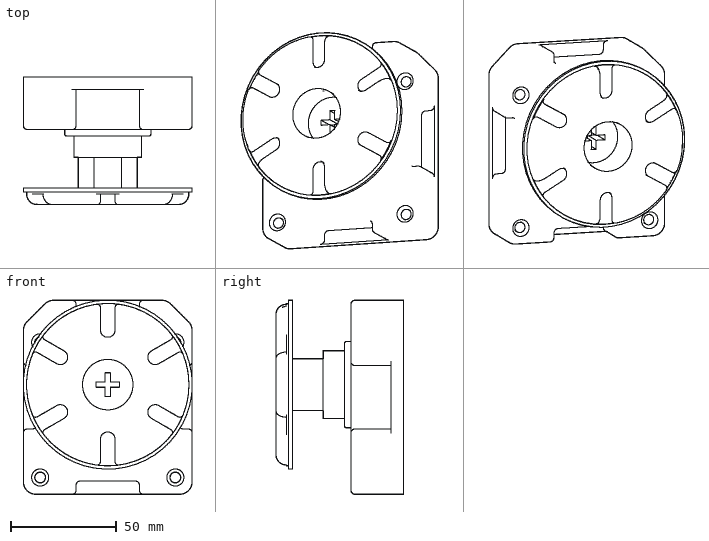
import cadquery as cq
import math


width = 80.0
height = 92.0
housing_depth = 25.0
corner_chamfer = 12.0
corner_radius = 6.0
edge_radius = 2.0
back_wall = 6.0
recess_width = 30.0
recess_depth = 6.35
screw_inset = 8.0
upper_screw_drop = 20.0
screw_radius = 2.5
countersink_depth = 1.6

flange_radius = 20.5
flange_thickness = 3.0
flange_edge_radius = 1.0
bush_radius = 16.1
bush_length = 10.0

knob_radius = width / 2
rim_thickness = 2.0
hub_radius = 38.5
hub_thickness = 6.0
hub_edge_radius = 5.0
shaft_radius = 14.0
shaft_length = 14.4
shaft_flats = 24.7
bore_radius = 12.0
slot_count = 6
slot_width = 7.0
slot_center = 25.9
slot_depth = hub_edge_radius
slot_edge_radius = 1.6

key_length = 11.0
key_width = 2.4

housing_top = knob_radius
housing_bottom = housing_top - height
housing_middle = (housing_top + housing_bottom) / 2
housing_front = -housing_depth
flange_front = housing_front - flange_thickness
collar_front = flange_front - bush_length
rim_back = collar_front - shaft_length
rim_front = rim_back - rim_thickness
knob_front = rim_front - hub_thickness


def plane_at(y):
    """XZ plane at depth y; its normal points to -Y, the front."""
    return cq.Workplane("XZ", origin=(0, y, 0))


def key_cross(start_y, end_y):
    """Cross-shaped prism running from start_y forward to end_y."""
    length = start_y - end_y
    upright = plane_at(start_y).rect(key_width, key_length).extrude(length)
    bar = plane_at(start_y).rect(key_length, key_width).extrude(length)
    return upright.union(bar)


def housing_block():
    """Full-depth block with chamfered top corners and rounded vertical edges."""
    block = (
        plane_at(0).center(0, housing_middle).rect(width, height).extrude(housing_depth)
        .edges("|Y and >Z").chamfer(corner_chamfer)
    )
    return block.edges("|Y").fillet(corner_radius)


def side_recess(x, z, turn):
    """Recess cutter centred on an outer side: turn is the angle of that side's outward normal.

    Its mouth flares with convex rounds and its floor corners are concave rounds.
    """
    half = recess_width / 2
    r = edge_radius
    bend = r * math.sqrt(0.5)
    outline = (
        cq.Workplane("XZ")
        .moveTo(r, -half - r)
        .lineTo(0, -half - r)
        .threePointArc((bend - r, -half - r + bend), (-r, -half))
        .lineTo(r - recess_depth, -half)
        .threePointArc((r - recess_depth - bend, r - half - bend), (-recess_depth, r - half))
        .lineTo(-recess_depth, half - r)
        .threePointArc((r - recess_depth - bend, half - r + bend), (r - recess_depth, half))
        .lineTo(-r, half)
        .threePointArc((bend - r, half + r - bend), (0, half + r))
        .lineTo(r, half + r)
        .close()
    )
    cutter = outline.extrude(housing_depth - back_wall)
    return cutter.rotate((0, 0, 0), (0, -1, 0), turn).translate((x, -back_wall, z))


def screw_hole():
    """Cutter for a countersunk through hole on the Y axis."""
    hole = plane_at(0).circle(screw_radius).extrude(housing_depth)
    cone = cq.Solid.makeCone(
        screw_radius,
        screw_radius + countersink_depth,
        countersink_depth,
        cq.Vector(0, housing_front + countersink_depth, 0),
        cq.Vector(0, -1, 0),
    )
    return hole.union(cq.Workplane(cone))


def make_housing():
    body = housing_block()
    sides = [
        (width / 2, housing_middle, 0),
        (0, housing_top, 90),
        (-width / 2, housing_middle, 180),
        (0, housing_bottom, 270),
    ]
    for x, z, turn in sides:
        body = body.cut(side_recess(x, z, turn))
    body = body.faces("<Y").edges().fillet(edge_radius)

    screw_x = width / 2 - screw_inset
    screw_places = [
        (x, z)
        for x in (-screw_x, screw_x)
        for z in (housing_bottom + screw_inset, housing_top - upper_screw_drop)
    ]
    for x, z in screw_places:
        body = body.cut(screw_hole().translate((x, 0, z)))
    return body.cut(key_cross(0, housing_front))


def make_collar():
    flange = plane_at(housing_front).circle(flange_radius).extrude(flange_thickness)
    flange = flange.faces("<Y").edges().fillet(flange_edge_radius)
    bush = plane_at(flange_front).circle(bush_radius).extrude(bush_length)
    return flange.union(bush).cut(key_cross(housing_front, collar_front))


def grip_slot(start, depth):
    """Cutter for the grip slot at the top of the knob: round inner end, open at the rim."""
    reach = knob_radius - slot_center
    straight = (
        plane_at(start).center(0, slot_center + reach / 2).rect(slot_width, reach).extrude(depth)
    )
    end = plane_at(start).center(0, slot_center).circle(slot_width / 2).extrude(depth)
    return straight.union(end)


def grip_pad():
    """Raised, rounded part of the hub between the slot floor and the knob front.

    It is modelled the full hub thickness deep so that the slot edge rounds run straight
    past the slot floor, and is then trimmed off at that floor.
    """
    pad = plane_at(rim_front).circle(hub_radius).extrude(hub_thickness)
    pad = pad.faces("<Y").edges().fillet(hub_edge_radius)
    for i in range(slot_count):
        slot = grip_slot(rim_front, hub_thickness)
        pad = pad.cut(slot.rotate((0, 0, 0), (0, 1, 0), i * 360 / slot_count))
    pad = pad.faces("<Y").edges("%LINE").fillet(slot_edge_radius)
    return pad.cut(plane_at(rim_front).circle(knob_radius).extrude(hub_thickness - slot_depth))


def make_knob():
    hub_base = plane_at(rim_front).circle(hub_radius).extrude(hub_thickness - slot_depth)
    hub = hub_base.union(grip_pad())

    rim = plane_at(rim_back).circle(knob_radius).extrude(rim_thickness)
    shaft = (
        plane_at(collar_front).circle(shaft_radius).extrude(shaft_length)
        .intersect(plane_at(collar_front).rect(2 * shaft_radius, shaft_flats).extrude(shaft_length))
    )
    bore = plane_at(collar_front).circle(bore_radius).extrude(collar_front - knob_front)
    return hub.union(rim).union(shaft).cut(bore)


housing = make_housing()
collar = make_collar()
knob = make_knob()

result = cq.Compound.makeCompound([housing.val(), collar.val(), knob.val()])